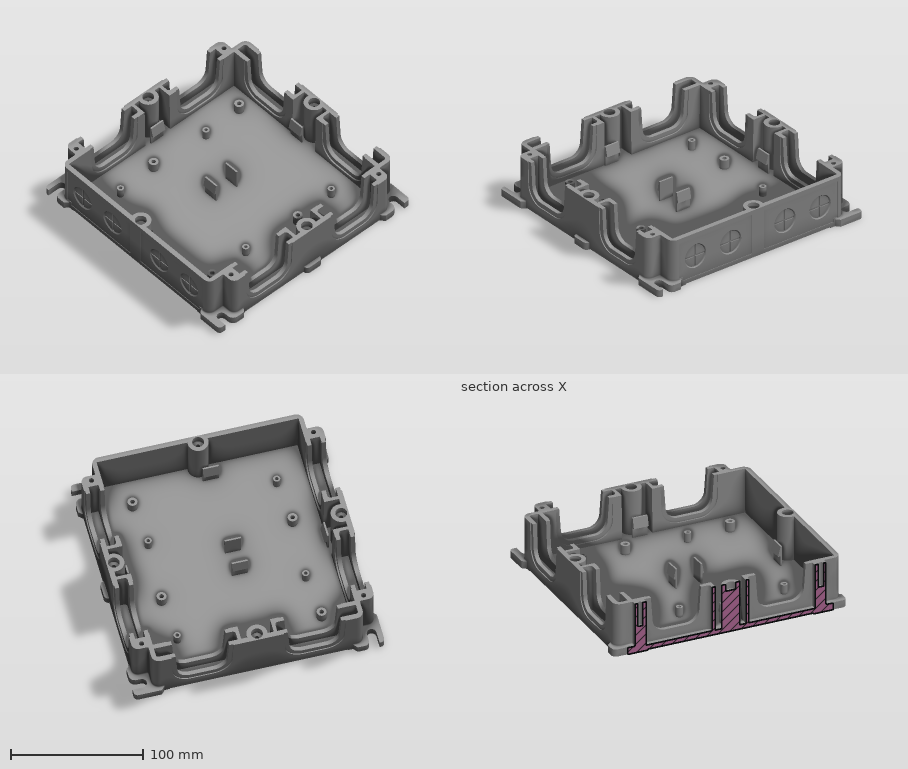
import cadquery as cq
import math

SPAN = 196.0
HEIGHT = 42.0
BODY_SPAN = 189.3
WING_X = 165.5
WING_Y = 160.3
BOTTOM_GAP = 0.8
FLOOR_TOP = 4.9
BODY_HALF = BODY_SPAN / 2
SPAN_HALF = SPAN / 2
SIDE_ROUND = 5.0
END_ROUND = 5.9

INSIDE_ROUND = 1.0

WALL = 4.1
WALL_INNER = BODY_HALF - WALL
SLOT_WIDTH = 7.8
CAVITY_HALF = 79.0
CAVITY_DRAFT = 0.8
POCKET_HALF = 12.7
POCKET_WALL = 2.7
SIDE_CHANNEL_END = 70.5
CHANNEL_ROUND = 2.4
NORTH_CHANNEL_ROUND = 1.8

NOTCH_PITCH = 87.8
NOTCH = {"half_top": 21.0, "half_bottom": 18.8, "bottom": 12.3, "round": 10.4}
BAND = {"half_top": 24.1, "half_bottom": 23.0, "bottom": 8.5, "round": 14.5}
BAND_DEPTH = 0.8
INNER_BAND_DEPTH = 0.4

BOSS_RADIUS = 8.0
BOSS_OFFSET = 89.0
BOSS_BORE_RADIUS = 4.5
BOSS_BORE_DEPTH = 5.9
BOSS_HOLE_RADIUS = 1.5
CORNER_HOLE_X = 86.8
CORNER_HOLE_Y = 75.9
CORNER_HOLE_RADIUS = 2.0
PILOT_DEPTH = 19.6

PANEL_INNER = 5.3
PANEL_OUTER = 76.0
PANEL_BOTTOM = 4.3
PANEL_TOP = 38.6
PANEL_DEPTH = 0.4
KNOCKOUT_RADIUS = 10.2
KNOCKOUT_DEPTH = 1.0
KNOCKOUT_TAPER = 0.8
KNOCKOUT_Z = 21.5
KNOCKOUT_X = (26.0, 59.8)
CROSS_WIDTH = 1.5
CROSS_DEPTH = 0.5

FOOT_HEIGHT = 6.0
FOOT_X_END = 73.7
FOOT_Y_END = 70.0
FOOT_BEVEL = 3.0
FOOT_SLOT_RADIUS = 3.7
EAST_SLOT_Y = 88.2
EAST_SLOT_END = 86.0
WEST_SLOT_X = 90.0
WEST_SLOT_END = 84.5
EAST_LIP_ROUND = 5.0
WEST_LIP_ROUND = 3.7
FINGER_ROUND = 3.1
PAD_END = 69.4
GUARD_END = 72.1
GUARD_TOP = 7.3
FOOT_ROOT_ROUND = 0.8
TAB_HALF = 8.0
TOLERANCE = 0.002

STANDOFF_HEIGHT = 7.8
WIDE_STANDOFFS = [(-57.0, 64.0), (56.8, 20.2), (-57.0, -23.7), (56.8, -67.6)]
SLIM_STANDOFFS = [(-54.0, 27.5), (54.0, 57.0), (54.0, -30.8), (-54.0, -60.4)]
WIDE_RADIUS, WIDE_BORE = 3.7, 1.8
SLIM_RADIUS, SLIM_BORE = 2.7, 1.4

CLIP_WIDTH = 12.5
CLIP_HEIGHT = 16.7
CLIP_THICKNESS = 1.4
WALL_CLIP_BACK = 78.2
WALL_CLIP_TOOTH = 2.2
MIDDLE_CLIP_BACK = 9.8
MIDDLE_CLIP_TOOTH = 1.5
CLIP_CENTRE_X = -6.9
CLIP_CENTRE_Y = -1.8


def block(x0, x1, y0, y1, z0, z1):
    return cq.Workplane("XY").box(x1 - x0, y1 - y0, z1 - z0, centered=False).translate((x0, y0, z0))


def post(x, y, radius, z0, z1):
    return cq.Workplane("XY", origin=(x, y, z0)).circle(radius).extrude(z1 - z0)


def centred_block(width, depth, z0, z1):
    return block(-width / 2, width / 2, -depth / 2, depth / 2, z0, z1)


def body():
    ends = centred_block(WING_X, BODY_SPAN, BOTTOM_GAP, HEIGHT).edges("|Z").fillet(END_ROUND)
    sides = centred_block(BODY_SPAN, WING_Y, BOTTOM_GAP, HEIGHT).edges("|Z").fillet(SIDE_ROUND)
    cross = ends.union(sides)
    for x in (-WING_X / 2, WING_X / 2):
        for y in (-WING_Y / 2, WING_Y / 2):
            notched_corner = cq.selectors.NearestToPointSelector((x, y, (BOTTOM_GAP + HEIGHT) / 2))
            cross = cross.edges(notched_corner).fillet(INSIDE_ROUND)
    return cross


def cavity():
    top = HEIGHT
    floor_half = CAVITY_HALF - CAVITY_DRAFT
    across = [(-floor_half, FLOOR_TOP), (floor_half, FLOOR_TOP), (CAVITY_HALF, top), (-CAVITY_HALF, top)]
    along = [(-WALL_INNER, FLOOR_TOP), (floor_half, FLOOR_TOP), (CAVITY_HALF, top), (-WALL_INNER, top)]
    room = cq.Workplane("XZ").polyline(across).close().extrude(BODY_HALF, both=True)
    room = room.intersect(cq.Workplane("YZ").polyline(along).close().extrude(BODY_HALF, both=True))
    side_pockets = block(-WALL_INNER, WALL_INNER, -POCKET_HALF, POCKET_HALF, FLOOR_TOP, top)
    north_pocket = block(-POCKET_HALF, POCKET_HALF, 0, WALL_INNER, FLOOR_TOP, top)
    return room.union(side_pockets).union(north_pocket)


def channel(end, end_round):
    """Wiring channel on the north side, from the pocket partition towards +X."""
    start = POCKET_HALF + POCKET_WALL
    slot = block(start, end, WALL_INNER - SLOT_WIDTH, WALL_INNER, FLOOR_TOP, HEIGHT)
    slot = slot.edges("|Z and <X and <Y").fillet(CHANNEL_ROUND)
    if end_round:
        slot = slot.edges("|Z and >X and >Y").fillet(end_round)
    return slot


def notch_prism(shape, y0, y1):
    """Tapered opening with a rounded bottom, cut through the Y range y0 to y1."""
    outline = [
        (-shape["half_bottom"], shape["bottom"]),
        (shape["half_bottom"], shape["bottom"]),
        (shape["half_top"], HEIGHT),
        (-shape["half_top"], HEIGHT),
    ]
    prism = cq.Workplane("XZ", origin=(0, y1, 0)).polyline(outline).close().extrude(y1 - y0)
    return prism.edges("|Y and <Z").fillet(shape["round"])


def notch():
    """Cable opening through both north walls, with a shallow band on each wall face."""
    through = notch_prism(NOTCH, CAVITY_HALF - 2, BODY_HALF + 2)
    outer_band = notch_prism(BAND, BODY_HALF - BAND_DEPTH, BODY_HALF)
    inner_band = notch_prism(BAND, CAVITY_HALF - CAVITY_DRAFT, CAVITY_HALF + INNER_BAND_DEPTH)
    return through.union(outer_band).union(inner_band).translate((NOTCH_PITCH / 2, 0, 0))


def double_wall_cuts(channel_end, end_round):
    half = channel(channel_end, end_round).union(notch())
    return half.union(half.mirror("YZ"))


def turned(shape, angle):
    return shape.rotate((0, 0, 0), (0, 0, 1), angle)


def knockout(x):
    """Shallow round recess with a deeper cross-shaped groove in its floor."""
    recess_floor = -BODY_HALF + PANEL_DEPTH + KNOCKOUT_DEPTH
    disc = (
        cq.Workplane("XZ", origin=(x, recess_floor, KNOCKOUT_Z))
        .circle(KNOCKOUT_RADIUS - KNOCKOUT_TAPER)
        .workplane(offset=KNOCKOUT_DEPTH)
        .circle(KNOCKOUT_RADIUS)
        .loft()
    )
    groove_length = 2 * math.sqrt((KNOCKOUT_RADIUS - KNOCKOUT_TAPER) ** 2 - (CROSS_WIDTH / 2) ** 2)
    groove = cq.Workplane("XY").box(groove_length, 2 * CROSS_DEPTH, CROSS_WIDTH)
    cross = groove.union(groove.rotate((0, 0, 0), (0, 1, 0), 90))
    return disc.union(cross.translate((x, recess_floor, KNOCKOUT_Z)))


def panel():
    recess = block(PANEL_INNER, PANEL_OUTER, -BODY_HALF, -BODY_HALF + PANEL_DEPTH, PANEL_BOTTOM, PANEL_TOP)
    for x in KNOCKOUT_X:
        recess = recess.union(knockout(x))
    guard = block(GUARD_END, PANEL_OUTER, -BODY_HALF, -BODY_HALF + PANEL_DEPTH, PANEL_BOTTOM, GUARD_TOP)
    return recess.cut(guard)


def foot_blank():
    outline = [
        (PAD_END, PAD_END),
        (BODY_HALF, PAD_END),
        (BODY_HALF, FOOT_Y_END),
        (SPAN_HALF, FOOT_Y_END + FOOT_BEVEL),
        (SPAN_HALF, SPAN_HALF),
        (FOOT_X_END + FOOT_BEVEL, SPAN_HALF),
        (FOOT_X_END, BODY_HALF),
        (PAD_END, BODY_HALF),
    ]
    return cq.Workplane("XY").polyline(outline).close().extrude(FOOT_HEIGHT)


def foot_slot(centre, end):
    """Open screw slot that enters from the +X side at the given Y."""
    round_end = post(end + FOOT_SLOT_RADIUS, centre, FOOT_SLOT_RADIUS, 0, FOOT_HEIGHT)
    mouth = block(
        end + FOOT_SLOT_RADIUS, SPAN_HALF,
        centre - FOOT_SLOT_RADIUS, centre + FOOT_SLOT_RADIUS,
        0, FOOT_HEIGHT,
    )
    return round_end.union(mouth)


def transposed(shape):
    """Swap X and Y."""
    return turned(shape, 90).mirror("YZ")


def east_foot():
    """Foot of the +X +Y corner with its slot open towards +X."""
    foot = foot_blank().cut(foot_slot(EAST_SLOT_Y, EAST_SLOT_END))
    foot = foot.edges("|Z and >X and >Y").fillet(FINGER_ROUND)
    lip = cq.selectors.NearestToPointSelector(
        (SPAN_HALF, EAST_SLOT_Y - FOOT_SLOT_RADIUS, FOOT_HEIGHT / 2)
    )
    return foot.edges(lip).fillet(EAST_LIP_ROUND)


def west_foot():
    """Foot of the -X +Y corner with its slot open towards +Y."""
    foot = foot_blank().cut(transposed(foot_slot(WEST_SLOT_X, WEST_SLOT_END)))
    foot = foot.edges("|Z and >X and >Y").fillet(FINGER_ROUND)
    lip = cq.selectors.NearestToPointSelector(
        (WEST_SLOT_X - FOOT_SLOT_RADIUS, SPAN_HALF, FOOT_HEIGHT / 2)
    )
    return foot.edges(lip).fillet(WEST_LIP_ROUND).mirror("YZ")


def feet():
    north = east_foot().union(west_foot())
    return north.union(north.mirror("XZ"))


def rounded_foot_roots(base):
    """Round the inside edges along which the foot tops meet the upright walls."""
    walls = body().val()
    roots = [
        edge
        for edge in base.edges("#Z").vals()
        if abs(edge.Center().z - FOOT_HEIGHT) < TOLERANCE
        and walls.distance(cq.Vertex.makeVertex(*edge.positionAt(0.5).toTuple())) < TOLERANCE
    ]
    return base.newObject(roots).fillet(FOOT_ROOT_ROUND)


def side_tabs():
    tabs = centred_block(SPAN, 2 * TAB_HALF, 0, FOOT_HEIGHT)
    tabs = tabs.edges("|Z").fillet(SPAN_HALF - BODY_HALF)
    middle = centred_block(2 * WALL_INNER, 2 * TAB_HALF, 0, FOOT_HEIGHT)
    return tabs.cut(middle)


def standoff(x, y, radius, bore):
    tube = post(x, y, radius, FLOOR_TOP, FLOOR_TOP + STANDOFF_HEIGHT)
    return tube.cut(post(x, y, bore, FLOOR_TOP, FLOOR_TOP + STANDOFF_HEIGHT))


def clip(back_y, tooth):
    """Latch clip centred on the YZ plane, with its flat back at back_y and its tooth towards -Y."""
    face = back_y - CLIP_THICKNESS
    middle = FLOOR_TOP + CLIP_HEIGHT / 2
    profile = [
        (back_y, FLOOR_TOP),
        (face, FLOOR_TOP),
        (face, middle),
        (face - tooth, middle),
        (face, FLOOR_TOP + CLIP_HEIGHT),
        (back_y, FLOOR_TOP + CLIP_HEIGHT),
    ]
    return cq.Workplane("YZ").polyline(profile).close().extrude(CLIP_WIDTH / 2, both=True)


def boss_position(angle):
    return (BOSS_OFFSET * math.cos(math.radians(angle)), BOSS_OFFSET * math.sin(math.radians(angle)))


shell = rounded_foot_roots(body().union(feet())).union(side_tabs())
shell = shell.cut(cavity())

side_cuts = double_wall_cuts(SIDE_CHANNEL_END, 0)
shell = shell.cut(double_wall_cuts(CAVITY_HALF, NORTH_CHANNEL_ROUND))
shell = shell.cut(turned(side_cuts, 90)).cut(turned(side_cuts, -90))

south_panel = panel()
shell = shell.cut(south_panel).cut(south_panel.mirror("YZ"))

for side_angle in (0, 90, 180, 270):
    boss_x, boss_y = boss_position(side_angle)
    bore_floor = HEIGHT - BOSS_BORE_DEPTH
    shell = shell.union(post(boss_x, boss_y, BOSS_RADIUS, FLOOR_TOP, HEIGHT).intersect(body()))
    shell = shell.cut(post(boss_x, boss_y, BOSS_BORE_RADIUS, bore_floor, HEIGHT))
    shell = shell.cut(post(boss_x, boss_y, BOSS_HOLE_RADIUS, bore_floor - PILOT_DEPTH, bore_floor))

for hole_x in (-CORNER_HOLE_X, CORNER_HOLE_X):
    for hole_y in (-CORNER_HOLE_Y, CORNER_HOLE_Y):
        shell = shell.cut(post(hole_x, hole_y, CORNER_HOLE_RADIUS, HEIGHT - PILOT_DEPTH, HEIGHT))

for stand_x, stand_y in WIDE_STANDOFFS:
    shell = shell.union(standoff(stand_x, stand_y, WIDE_RADIUS, WIDE_BORE))
for stand_x, stand_y in SLIM_STANDOFFS:
    shell = shell.union(standoff(stand_x, stand_y, SLIM_RADIUS, SLIM_BORE))

wall_clip = clip(WALL_CLIP_BACK, WALL_CLIP_TOOTH)
middle_clip = clip(-MIDDLE_CLIP_BACK, MIDDLE_CLIP_TOOTH)
for clip_part in (wall_clip, middle_clip):
    placed = clip_part.translate((CLIP_CENTRE_X, 0, 0))
    shell = shell.union(placed).union(placed.mirror("XZ"))
for clip_angle in (90, -90):
    shell = shell.union(turned(wall_clip, clip_angle).translate((0, CLIP_CENTRE_Y, 0)))

result = shell